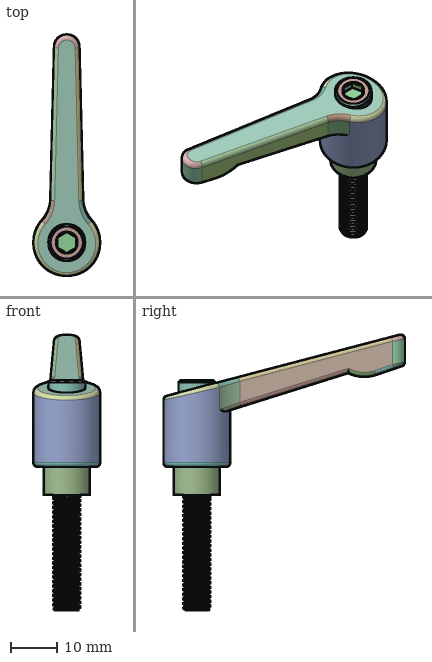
import cadquery as cq
import math


HUB_RADIUS = 14.5 / 2
HUB_BOTTOM = 6.05
HUB_BOTTOM_FILLET = 1.0
COLLAR_RADIUS = 10 / 2

OVERALL_DEPTH = 52.25
ARM_REACH = OVERALL_DEPTH - HUB_RADIUS
TIP_RADIUS = 2.8
TIP_CENTER_Y = ARM_REACH - TIP_RADIUS
ARM_TAPER = math.radians(1.4)
NECK_FILLET = 6.8
EDGE_FILLET = 1.0

TOP_SLOPE = math.tan(math.radians(14.7))
TOP_HEIGHT_AT_AXIS = 23.16
GRIP_END = (ARM_REACH, 28.05)
BULGE_START = (38.7, 25.9)
BULGE_END = (32.7, 26.3)
UNDERSIDE_SLOPE = math.tan(math.radians(17.4))

HEAD_RADIUS = 8 / 2
HEAD_TOP = 24.8
HEAD_CHAMFER = 0.5
HEAD_BASE = 18.0
SOCKET_FLATS = 4.0
SOCKET_DEPTH = 2.0
SOCKET_MOUTH_RADIUS = 4.7 / 2
SOCKET_MOUTH_DEPTH = 0.2

THREAD_RADIUS = 6 / 2
PITCH = 1.0
STUD_LENGTH = 25.0
STUD_CHAMFER = 0.55
PLAIN_NECK = 0.4
THREAD_PHASE = -0.2
CREST_WIDTH = PITCH / 8
CORE_RADIUS = 4.7 / 2
RIDGE_ROOT_OVERLAP = 0.05
FLANK_ANGLE = math.radians(30)

OVERLAP = 0.1


def top_height(y):
    """Height of the sloping top plane at a given Y."""
    return TOP_HEIGHT_AT_AXIS + TOP_SLOPE * y


def arm_plan():
    """Arm outline seen along Z: concave necks, tapered sides and round tip, closed by a chord of the hub."""
    normal_x = math.cos(ARM_TAPER)
    normal_y = math.sin(ARM_TAPER)
    center_distance = HUB_RADIUS + NECK_FILLET
    side_offset = TIP_RADIUS + TIP_CENTER_Y * normal_y + NECK_FILLET
    center_angle = ARM_TAPER + math.acos(side_offset / center_distance)
    center_x = center_distance * math.cos(center_angle)
    center_y = center_distance * math.sin(center_angle)
    hub_point = (HUB_RADIUS * math.cos(center_angle), HUB_RADIUS * math.sin(center_angle))
    neck_point = (center_x - NECK_FILLET * normal_x, center_y - NECK_FILLET * normal_y)
    middle_angle = (center_angle + ARM_TAPER) / 2
    neck_middle = (
        center_x - NECK_FILLET * math.cos(middle_angle),
        center_y - NECK_FILLET * math.sin(middle_angle),
    )
    tip_point = (TIP_RADIUS * normal_x, TIP_CENTER_Y + TIP_RADIUS * normal_y)

    def mirrored(point):
        return (-point[0], point[1])

    return (
        cq.Workplane("XY")
        .moveTo(*hub_point)
        .threePointArc(neck_middle, neck_point)
        .lineTo(*tip_point)
        .threePointArc((0, ARM_REACH), mirrored(tip_point))
        .lineTo(*mirrored(neck_point))
        .threePointArc(mirrored(neck_middle), mirrored(hub_point))
        .close()
    )


def arm_side_slab():
    """Slab across X with the side outline of the arm: sloping top, bulged grip, sloping underside."""
    hub_end_y = -2 * HUB_RADIUS
    far_end_y = ARM_REACH + OVERLAP
    underside_at_hub = BULGE_END[1] - UNDERSIDE_SLOPE * (BULGE_END[0] - hub_end_y)
    return (
        cq.Workplane("YZ")
        .moveTo(hub_end_y, top_height(hub_end_y))
        .lineTo(far_end_y, top_height(far_end_y))
        .lineTo(far_end_y, GRIP_END[1])
        .lineTo(*GRIP_END)
        .lineTo(*BULGE_START)
        .tangentArcPoint(BULGE_END, relative=False)
        .lineTo(hub_end_y, underside_at_hub)
        .close()
        .extrude(2 * HUB_RADIUS, both=True)
    )


def hub():
    """Round barrel cut off by the sloping top plane."""
    half_width = HUB_RADIUS + OVERLAP
    below_top = (
        cq.Workplane("YZ")
        .moveTo(-half_width, HUB_BOTTOM - OVERLAP)
        .lineTo(half_width, HUB_BOTTOM - OVERLAP)
        .lineTo(half_width, top_height(half_width))
        .lineTo(-half_width, top_height(-half_width))
        .close()
        .extrude(half_width, both=True)
    )
    barrel = cq.Workplane("XY").workplane(offset=HUB_BOTTOM).circle(HUB_RADIUS)
    barrel = barrel.extrude(top_height(half_width) - HUB_BOTTOM)
    barrel = barrel.faces("<Z").edges().fillet(HUB_BOTTOM_FILLET)
    barrel = barrel.rotate((0, 0, 0), (0, 0, 1), 90)
    return barrel.intersect(below_top)


def lever():
    """Arm and hub in one, with the rims of the underside and of the top rounded."""
    tall = top_height(ARM_REACH) + OVERLAP
    top_face = cq.ParallelDirSelector(cq.Vector(0, -TOP_SLOPE, 1))
    arm = arm_plan().extrude(tall).intersect(arm_side_slab())
    top_rim = arm.faces(top_face).edges().vals()
    underside_rim = arm.edges("not (|Z or |X)").filter(lambda edge: not any(edge.isSame(e) for e in top_rim))
    arm = underside_rim.fillet(EDGE_FILLET)
    return arm.union(hub()).faces(top_face).edges().fillet(EDGE_FILLET)


def collar():
    """Plain collar below the hub, running into it."""
    return cq.Workplane("XY").circle(COLLAR_RADIUS).extrude(HUB_BOTTOM + OVERLAP)


def screw_head():
    """Chamfered round head standing out of the hub top."""
    return (
        cq.Workplane("XY")
        .workplane(offset=HEAD_BASE)
        .circle(HEAD_RADIUS)
        .extrude(HEAD_TOP - HEAD_BASE)
        .faces(">Z")
        .chamfer(HEAD_CHAMFER)
    )


def hex_socket():
    """Hexagonal key socket with corners toward +Y and -Y and a countersunk mouth."""
    across_corners = SOCKET_FLATS / math.cos(math.pi / 6)
    hexagon = (
        cq.Workplane("XY")
        .workplane(offset=HEAD_TOP)
        .transformed(rotate=(0, 0, 90))
        .polygon(6, across_corners)
        .extrude(-SOCKET_DEPTH)
    )
    mouth = cq.Workplane(
        cq.Solid.makeCone(
            SOCKET_FLATS / 2,
            SOCKET_MOUTH_RADIUS,
            SOCKET_MOUTH_DEPTH,
            pnt=cq.Vector(0, 0, HEAD_TOP - SOCKET_MOUTH_DEPTH),
        )
    )
    return hexagon.union(mouth)


def helical_ridge(section, start_z, height):
    """Solid swept by a closed section of (radius, z offset) corners that climbs one pitch per turn."""
    helices = [
        cq.Wire.makeHelix(PITCH, height, radius, center=cq.Vector(0, 0, start_z + offset))
        for radius, offset in section
    ]
    flanks = [
        cq.Face.makeRuledSurface(helices[index - 1], helices[index])
        for index in range(len(helices))
    ]
    ends = []
    for end_z in (start_z, start_z + height):
        corners = [cq.Vector(radius, 0, end_z + offset) for radius, offset in section]
        ends.append(cq.Face.makeFromWires(cq.Wire.makePolygon(corners, close=True)))
    return cq.Workplane(cq.Solid.makeSolid(cq.Shell.makeShell(flanks + ends)))


def threaded_stud():
    """Core rod with one helical ridge below a plain neck, trimmed to length and chamfered at the free end."""
    stud_end = cq.Workplane("XY").workplane(offset=-STUD_LENGTH)
    core = stud_end.circle(CORE_RADIUS).extrude(STUD_LENGTH + OVERLAP)
    root_radius = CORE_RADIUS - RIDGE_ROOT_OVERLAP
    half_crest = CREST_WIDTH / 2
    half_root = half_crest + (THREAD_RADIUS - root_radius) * math.tan(FLANK_ANGLE)
    section = [
        (root_radius, -half_root),
        (THREAD_RADIUS, -half_crest),
        (THREAD_RADIUS, half_crest),
        (root_radius, half_root),
    ]
    ridge = helical_ridge(section, THREAD_PHASE - STUD_LENGTH - PITCH, STUD_LENGTH + 2 * PITCH)
    envelope = (
        stud_end.circle(THREAD_RADIUS + OVERLAP)
        .extrude(STUD_LENGTH + OVERLAP)
        .faces("<Z")
        .chamfer(STUD_CHAMFER + OVERLAP)
    )
    neck = cq.Workplane("XY").workplane(offset=-PLAIN_NECK)
    neck = neck.circle(THREAD_RADIUS).extrude(PLAIN_NECK + OVERLAP)
    return core.union(ridge.intersect(envelope)).union(neck)


result = lever().union(screw_head()).cut(hex_socket()).union(collar()).union(threaded_stud())